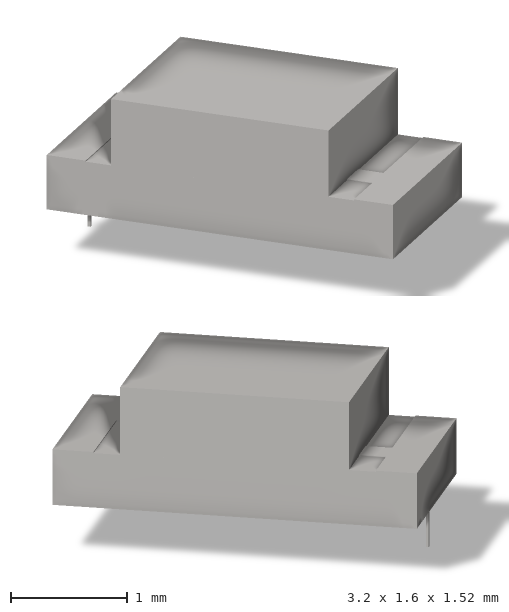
import cadquery as cq

BOARD_LENGTH = 3.2
BOARD_WIDTH = 1.6
BOARD_HEIGHT = 0.49

PAD_LENGTH = 0.36
PAD_THICKNESS = 0.01

LENS_LENGTH = 2.01
LENS_HEIGHT = 0.61

TAB_WIDTH = 0.255
TAB_THICKNESS = PAD_THICKNESS
TAB_SPREAD = 0.51
TAB_PAIR_Y = 0.007

WIRE_THICKNESS = 0.025
WIRE_LENGTH = 0.42
WIRE_X = -1.515
WIRE_Y = -0.025


def box_on(length, width, height, x, y, z):
    """Box centred on (x, y) with its bottom face at height z."""
    return (
        cq.Workplane("XY", origin=(x, y, z))
        .box(length, width, height, centered=(True, True, False))
    )


def make_board():
    return box_on(BOARD_LENGTH, BOARD_WIDTH, BOARD_HEIGHT, 0, 0, 0)


def make_lens():
    return box_on(LENS_LENGTH, BOARD_WIDTH, LENS_HEIGHT, 0, 0, BOARD_HEIGHT)


def make_pad(side):
    """End pad; side is -1 for the -X end and +1 for the +X end."""
    pad_x = side * (BOARD_LENGTH - PAD_LENGTH) / 2
    return box_on(PAD_LENGTH, BOARD_WIDTH, PAD_THICKNESS, pad_x, 0, BOARD_HEIGHT)


def make_tab(side):
    """Tab filling the gap from pad to lens; the two tabs lie diagonally opposite."""
    pad_edge = BOARD_LENGTH / 2 - PAD_LENGTH
    lens_edge = LENS_LENGTH / 2
    tab_x = side * (pad_edge + lens_edge) / 2
    tab_y = TAB_PAIR_Y - side * TAB_SPREAD / 2
    return box_on(pad_edge - lens_edge, TAB_WIDTH, TAB_THICKNESS, tab_x, tab_y, BOARD_HEIGHT)


def make_wire():
    return box_on(WIRE_THICKNESS, WIRE_THICKNESS, WIRE_LENGTH, WIRE_X, WIRE_Y, -WIRE_LENGTH)


board = make_board()
lens = make_lens()
wire = make_wire()
pads = [make_pad(side) for side in (-1, 1)]
tabs = [make_tab(side) for side in (-1, 1)]

result = cq.Compound.makeCompound([
    board.val(),
    lens.val(),
    wire.val(),
    *[pad.val() for pad in pads],
    *[tab.val() for tab in tabs],
])